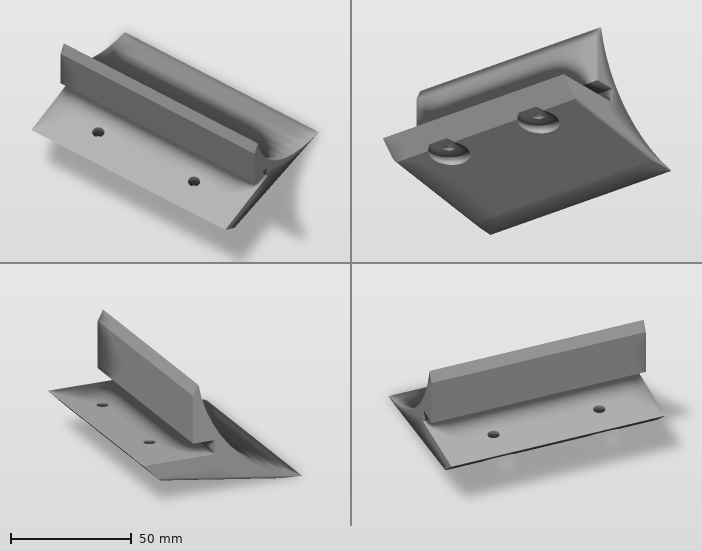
import cadquery as cq
import math


length = 95.25
depth = 72.52
height = 48.0
peak_z = 32.05
tail_z = peak_z - height

blade_front_y = 22.75
blade_shoulder_z = 27.45
peak_y = 25.2
slot_height = 6.35
slot_depth = 10.0

rear_curve_radius = 59.5
tail_bevel_depth = 1.3
tail_bevel_rise = 0.5

nose_depth = 8.25
nose_drop = 8.1
tail_facet_length = 11.5
side_edge_radius = 1.27

hole_spacing = 47.0
hole_y = 13.9
hole_diameter = 5.08
counterbore_diameter = 17.5
counterbore_top_z = -6.35

radius_to_tail = math.hypot(depth - nose_depth, -nose_drop - tail_z)
underside_slope = (
    math.atan2(-nose_drop - tail_z, depth - nose_depth)
    + math.asin(side_edge_radius / radius_to_tail)
)


def underside_z(y):
    """Height of the sloping underside at a given distance from the front."""
    return -nose_drop - (y - nose_depth) * math.tan(underside_slope)


def extrude_along_length(outline):
    """Extrude a closed Y-Z outline symmetrically about mid-length."""
    return outline.close().extrude(length / 2, both=True)


def make_rounded_underside():
    """Tall block on the sloping underside, its two end edges rounded."""
    overrun = 5.0
    block = extrude_along_length(
        cq.Workplane("YZ")
        .moveTo(-overrun, peak_z + overrun)
        .lineTo(-overrun, underside_z(-overrun))
        .lineTo(depth + overrun, underside_z(depth + overrun))
        .lineTo(depth + overrun, peak_z + overrun)
    )
    return block.faces("<Z").edges("not |X").fillet(side_edge_radius)


def make_profile():
    """Plate, slot, blade and concave rear face over the full length."""
    slot_back_y = blade_front_y + slot_depth
    facet_start_y = depth - tail_facet_length
    return extrude_along_length(
        cq.Workplane("YZ")
        .moveTo(0, 0)
        .lineTo(slot_back_y, 0)
        .lineTo(slot_back_y, slot_height)
        .lineTo(blade_front_y, slot_height)
        .lineTo(blade_front_y, blade_shoulder_z)
        .lineTo(peak_y, peak_z)
        .radiusArc((depth - tail_bevel_depth, tail_z + tail_bevel_rise), -rear_curve_radius)
        .lineTo(depth, tail_z)
        .lineTo(facet_start_y, underside_z(facet_start_y))
        .lineTo(nose_depth, -nose_drop)
    )


def make_hole_cutter(hole_x):
    """Through hole with a counterbore entering from the underside."""
    base = cq.Workplane("XY", origin=(hole_x, hole_y, tail_z))
    through_hole = base.circle(hole_diameter / 2).extrude(height)
    counterbore = base.circle(counterbore_diameter / 2).extrude(counterbore_top_z - tail_z)
    return through_hole.union(counterbore)


result = make_profile().intersect(make_rounded_underside())
for side in (-1, 1):
    result = result.cut(make_hole_cutter(side * hole_spacing / 2))